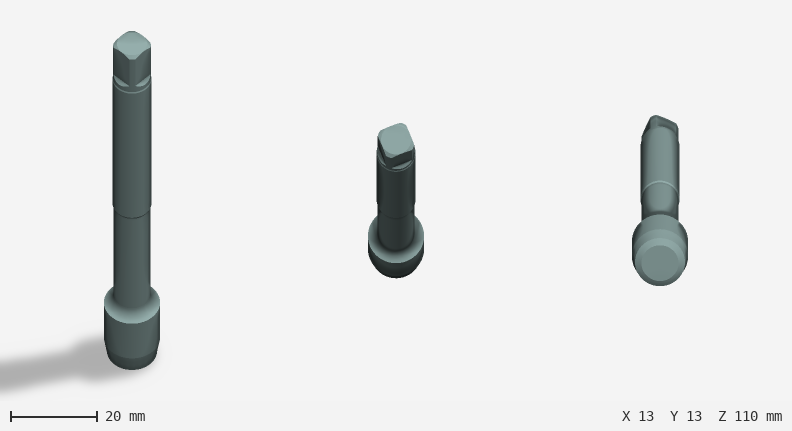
import cadquery as cq

total_length = 110.0

head_diameter = 13.0
head_length = 18.2
lead_length = 5.8
lead_diameter = 11.5
tip_diameter = 8.6
tip_chamfer_height = 0.9

neck_diameter = 8.5
flare_height = 2.9
shank_diameter = 9.0
shank_start = 53.5
shank_top = 97.6
lower_chamfer_height = 0.7
upper_chamfer_height = 0.3

drive_diameter = 8.7
square_width = 7.0
flat_bottom = 100.0
top_diameter = 6.9
top_chamfer_height = 0.5

head_radius = head_diameter / 2
neck_radius = neck_diameter / 2
shank_radius = shank_diameter / 2
drive_radius = drive_diameter / 2


def make_head():
    """Solid of revolution with a tapered lead and a chamfered tip."""
    return (
        cq.Workplane("XZ")
        .lineTo(tip_diameter / 2, 0)
        .lineTo(lead_diameter / 2, tip_chamfer_height)
        .lineTo(head_radius, lead_length)
        .lineTo(head_radius, head_length)
        .lineTo(0, head_length)
        .close()
        .revolve(360, (0, 0), (0, 1))
    )


def make_flat_cutter():
    """Block beyond one flat of the square, with a 45 degree slope at the flat's foot."""
    flat_distance = square_width / 2
    slope_run = head_radius - flat_distance
    return (
        cq.Workplane("XZ")
        .moveTo(flat_distance, total_length)
        .lineTo(flat_distance, flat_bottom)
        .lineTo(head_radius, flat_bottom - slope_run)
        .lineTo(head_radius, total_length)
        .close()
        .extrude(head_radius, both=True)
    )


def make_shank():
    """Neck with a concave flare, stepped shank and square drive end."""
    flare_top = head_length + flare_height
    round_body = (
        cq.Workplane("XZ")
        .moveTo(0, head_length)
        .lineTo(0, total_length)
        .lineTo(top_diameter / 2, total_length)
        .lineTo(drive_radius, total_length - top_chamfer_height)
        .lineTo(drive_radius, shank_top + upper_chamfer_height)
        .lineTo(shank_radius, shank_top)
        .lineTo(shank_radius, shank_start)
        .lineTo(neck_radius, shank_start - lower_chamfer_height)
        .lineTo(neck_radius, flare_top)
        .tangentArcPoint((head_radius, head_length), relative=False)
        .close()
        .revolve(360, (0, 0), (0, 1))
    )
    for side in range(4):
        cutter = make_flat_cutter().rotate((0, 0, 0), (0, 0, 1), 90 * side)
        round_body = round_body.cut(cutter)
    return round_body


head = make_head()
shank = make_shank()

result = cq.Compound.makeCompound([head.val(), shank.val()])